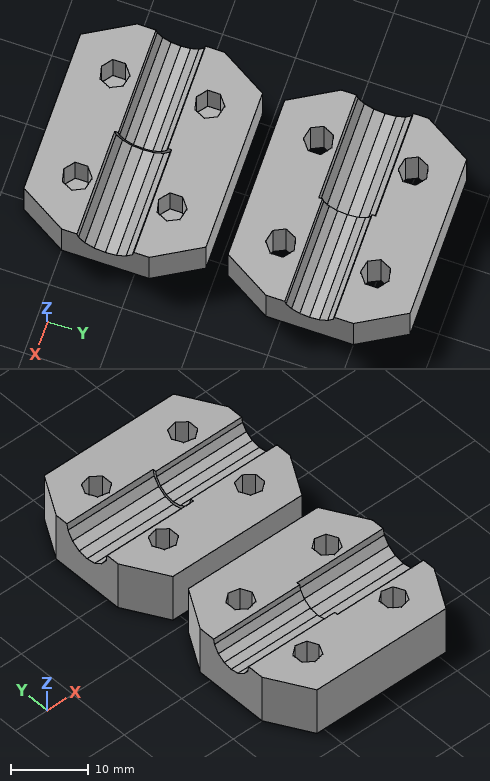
import cadquery as cq
import math


length = 30.0
width = 25.0
height = 8.0
end_face_width = 12.0
corner_angle = 30.0
corner_y = (width - end_face_width) / 2
corner_x = corner_y * math.tan(math.radians(corner_angle))
gap = 3.0
half_offset = (width + gap) / 2

narrow_radius = 3.5
wide_radius = 4.0
groove_sides = 16
axis_above_top = 0.5
groove_axis_z = height + axis_above_top

hole_radius = 2.0
hole_sides = 7
hole_spacing_x = 15.0
hole_spacing_y = 13.0
blind_floor = 2.0


def polygon_points(radius, sides, first_angle):
    """Corners of a regular polygon about the origin, the first at first_angle degrees."""
    angles = [math.radians(first_angle + 360 * i / sides) for i in range(sides)]
    return [(radius * math.cos(a), radius * math.sin(a)) for a in angles]


def block():
    """Plain block with its four vertical corners cut off."""
    corner = (
        cq.Workplane("XY")
        .moveTo(length / 2, width / 2)
        .lineTo(length / 2 - corner_x, width / 2)
        .lineTo(length / 2, width / 2 - corner_y)
        .close()
        .extrude(height)
    )
    body = cq.Workplane("XY").box(length, width, height, centered=(True, True, False))
    other_end = corner.mirror("YZ")
    for cutter in (corner, other_end, corner.mirror("XZ"), other_end.mirror("XZ")):
        body = body.cut(cutter)
    return body


def groove_segment(radius, start_x):
    """Polygonal bar filling half the block length from start_x, one corner pointing down."""
    return (
        cq.Workplane("YZ", origin=(start_x, 0, groove_axis_z))
        .polyline(polygon_points(radius, groove_sides, -90))
        .close()
        .extrude(length / 2)
    )


def screw_holes(floor_z, first_angle):
    """Four seven-sided prisms from floor_z up to the top face."""
    prisms = []
    points = polygon_points(hole_radius, hole_sides, first_angle)
    for side_x in (-1, 1):
        for side_y in (-1, 1):
            center = (side_x * hole_spacing_x / 2, side_y * hole_spacing_y / 2, floor_z)
            prism = cq.Workplane("XY", origin=center).polyline(points).close()
            prisms.append(prism.extrude(height - floor_z))
    return prisms


def clamp_half(radius_at_minus_x, radius_at_plus_x, hole_floor_z, hole_angle):
    """Clamp half centred on the Z axis, with its stepped groove and four screw holes."""
    body = block()
    body = body.cut(groove_segment(radius_at_minus_x, -length / 2))
    body = body.cut(groove_segment(radius_at_plus_x, 0))
    for prism in screw_holes(hole_floor_z, hole_angle):
        body = body.cut(prism)
    return body


through_half = clamp_half(wide_radius, narrow_radius, 0, 180).translate((0, half_offset, 0))

blind_half = clamp_half(narrow_radius, wide_radius, blind_floor, 0).translate((0, -half_offset, 0))

result = cq.Compound.makeCompound([through_half.solids().val(), blind_half.solids().val()])